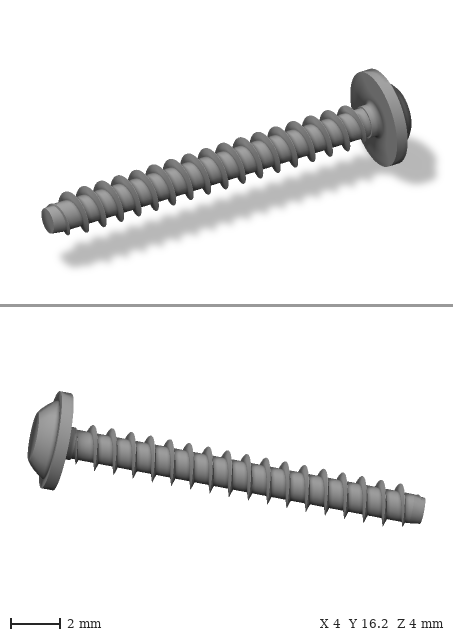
import cadquery as cq
import math


total_length = 16.2
flange_diameter = 4.0
flange_thickness = 0.49
dome_base_diameter = 3.24
dome_top_diameter = 2.01
dome_height = 0.71

neck_diameter = 1.35
neck_length = 0.44
neck_fillet = 0.16
core_diameter = 1.2
tip_diameter = 1.07
tip_taper_length = 0.49
tip_cone_height = 0.02

thread_diameter = 1.85
full_turns = 16
full_thread_length = 12.8
crest_width = 0.02
flank_angle = 17.0
root_sink = 0.08
full_thread_start = 1.2
run_in_start_radius = 0.71
run_out_end_radius = 0.58

head_height = flange_thickness + dome_height
shank_length = total_length - head_height
rim_depth = shank_length - tip_cone_height
core_radius = core_diameter / 2
neck_radius = neck_diameter / 2
crest_radius = thread_diameter / 2
thread_pitch = full_thread_length / full_turns


def make_body():
    """Head, neck, core and pointed tip as one revolved outline."""
    base_radius = dome_base_diameter / 2
    top_radius = dome_top_diameter / 2
    centre_drop = (base_radius**2 - top_radius**2 - dome_height**2) / (2 * dome_height)
    sphere_radius = math.hypot(base_radius, centre_drop)
    mid_height = dome_height / 2
    mid_radius = math.sqrt(sphere_radius**2 - (centre_drop + mid_height) ** 2)
    fillet_mid = neck_fillet * (1 - math.sqrt(0.5))

    outline = (
        cq.Workplane("XZ")
        .moveTo(0, -shank_length)
        .lineTo(tip_diameter / 2, -rim_depth)
        .lineTo(core_radius, tip_taper_length - rim_depth)
        .lineTo(core_radius, -neck_length)
        .lineTo(neck_radius, -neck_length)
        .lineTo(neck_radius, -neck_fillet)
        .threePointArc((neck_radius + fillet_mid, -fillet_mid), (neck_radius + neck_fillet, 0))
        .lineTo(flange_diameter / 2, 0)
        .lineTo(flange_diameter / 2, flange_thickness)
        .lineTo(base_radius, flange_thickness)
        .threePointArc((mid_radius, flange_thickness + mid_height), (top_radius, head_height))
        .lineTo(0, head_height)
        .close()
    )
    return outline.revolve(360, (0, 0, 0), (0, 1, 0))


def make_thread_turn(end_crest_radius):
    """One turn of ridge, climbing from Z = 0 on the -X side.

    The crest grows from the given radius at the lower end to its full radius at the upper
    end, and the whole trapezoid section moves outward with it.
    """
    growth = crest_radius - end_crest_radius
    root_radius = core_radius - root_sink
    crest_half = crest_width / 2
    root_half = crest_half + (crest_radius - root_radius) * math.tan(math.radians(flank_angle))
    section = [
        (root_radius, -root_half),
        (crest_radius, -crest_half),
        (crest_radius, crest_half),
        (root_radius, root_half),
    ]
    full_circle = 360
    cone_angle = full_circle
    if growth > 0:
        cone_angle = math.degrees(math.atan2(growth, thread_pitch))
    slant_pitch = math.hypot(growth, thread_pitch)

    edges = []
    lower_corners = []
    upper_corners = []
    for radius, height in section:
        lower_radius = radius - growth
        helix = cq.Wire.makeHelix(slant_pitch, slant_pitch, lower_radius, angle=cone_angle)
        edges.append(helix.translate(cq.Vector(0, 0, height)))
        lower_corners.append(cq.Vector(lower_radius, 0, height))
        upper_corners.append(cq.Vector(radius, 0, height + thread_pitch))

    faces = []
    for index, edge in enumerate(edges):
        next_edge = edges[(index + 1) % len(edges)]
        faces.extend(cq.Face.makeRuledSurface(edge, next_edge).Faces())
    for corners in (lower_corners, upper_corners):
        faces.append(cq.Face.makeFromWires(cq.Wire.makePolygon(corners, close=True)))
    turn = cq.Solid.makeSolid(cq.Shell.makeShell(faces))
    return cq.Workplane(turn).rotate((0, 0, 0), (0, 0, 1), 180)


def place_thread_turns():
    """Run-in turn, full turns and run-out turn, from the head to the tip."""
    tapered_in = make_thread_turn(run_in_start_radius)
    run_in = tapered_in.rotate((0, 0, 0), (1, 0, 0), 180)
    turns = [run_in.translate((0, 0, thread_pitch - full_thread_start))]

    full_turn = make_thread_turn(crest_radius)
    for number in range(1, full_turns + 1):
        turns.append(full_turn.translate((0, 0, -full_thread_start - number * thread_pitch)))

    run_out = make_thread_turn(run_out_end_radius)
    run_out_bottom = -full_thread_start - full_thread_length - thread_pitch
    turns.append(run_out.translate((0, 0, run_out_bottom)))
    return turns


screw = make_body()
for thread_turn in place_thread_turns():
    screw = screw.union(thread_turn, clean=False)

result = screw.solids().rotate((0, 0, 0), (1, 0, 0), -90)